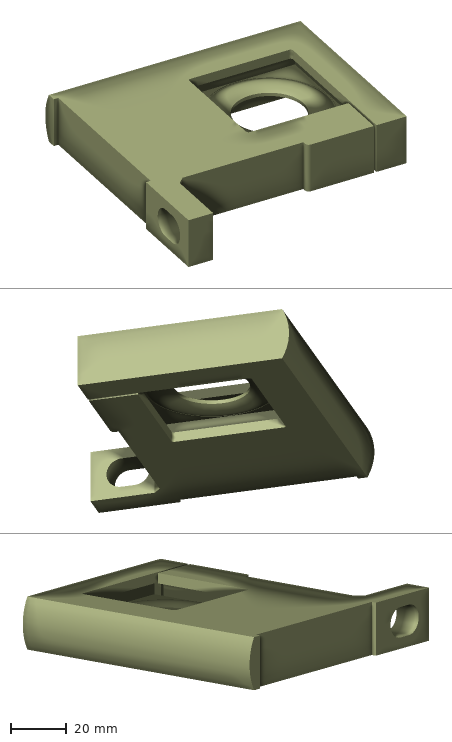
import cadquery as cq

LENGTH_X = 103.5
LENGTH_Y = 104.0
THICKNESS = 19.5
MID_Z = THICKNESS / 2
BOW_DEPTH = 2.6
HEAD_RIGHT = 79.4
BODY_RIGHT = 76.6
HEAD_BOTTOM = 62.8
HEAD_CORNER_RADIUS = 1.6
FOOT_HEIGHT = 10.2
FOOT_CHAMFER = 2.7

RECESS_LEFT = 6.1
RECESS_RIGHT = 72.8
RECESS_DEPTH = 1.9

SLOT_LENGTH = 16.2
SLOT_HEIGHT = 11.2
SLOT_CENTER_X = LENGTH_X - 14.1

WINDOW_SIZE = 42.8
WINDOW_CORNER_RADIUS = 1.0
WINDOW_CENTER_X = 39.5
WINDOW_CENTER_Y = 70.1
GROOVE_DEPTH = 3.1
GROOVE_HEIGHT = 12.0
SLIT_WIDTH = 1.0

PLATE_THICKNESS = 1.7
RING_INNER_RADIUS = 13.9
RING_OUTER_RADIUS = 24.2
RING_SHOULDER = 0.4
RING_RIM_THICKNESS = 1.4
RING_DOME_HEIGHT = 1.6

PLATE_SIZE = WINDOW_SIZE + 2 * GROOVE_DEPTH
WINDOW_TOP = WINDOW_CENTER_Y + WINDOW_SIZE / 2


def centered_square(size, height):
    """Square block centred on the window and on the mid-thickness plane."""
    return cq.Workplane("XY").box(size, size, height).translate((WINDOW_CENTER_X, WINDOW_CENTER_Y, MID_Z))


def make_blank():
    """Bracket outline with its foot, the right edge stepping in below the head."""
    blank = (
        cq.Workplane("XY")
        .moveTo(0, 0)
        .lineTo(RECESS_LEFT, 0)
        .lineTo(RECESS_LEFT, RECESS_DEPTH)
        .lineTo(RECESS_RIGHT, RECESS_DEPTH)
        .lineTo(RECESS_RIGHT, 0)
        .lineTo(LENGTH_X, 0)
        .lineTo(LENGTH_X, FOOT_HEIGHT)
        .lineTo(BODY_RIGHT + FOOT_CHAMFER, FOOT_HEIGHT)
        .lineTo(BODY_RIGHT, FOOT_HEIGHT + FOOT_CHAMFER)
        .lineTo(BODY_RIGHT, HEAD_BOTTOM)
        .lineTo(HEAD_RIGHT - HEAD_CORNER_RADIUS, HEAD_BOTTOM)
        .radiusArc((HEAD_RIGHT, HEAD_BOTTOM + HEAD_CORNER_RADIUS), -HEAD_CORNER_RADIUS)
        .lineTo(HEAD_RIGHT, LENGTH_Y)
        .lineTo(0, LENGTH_Y)
        .close()
        .extrude(THICKNESS)
    )
    return blank.intersect(make_bowed_envelope())


def make_bowed_envelope():
    """Full-length bar whose left side bows outward across the thickness."""
    return (
        cq.Workplane("XZ")
        .moveTo(BOW_DEPTH, 0)
        .lineTo(LENGTH_X, 0)
        .lineTo(LENGTH_X, THICKNESS)
        .lineTo(BOW_DEPTH, THICKNESS)
        .threePointArc((0, MID_Z), (BOW_DEPTH, 0))
        .close()
        .extrude(-LENGTH_Y)
    )


def make_window():
    """Square through opening with rounded corners."""
    return centered_square(WINDOW_SIZE, THICKNESS).edges("|Z").fillet(WINDOW_CORNER_RADIUS)


def make_slit():
    """Narrow gap running from the window's top edge out through the right side."""
    slit_length = HEAD_RIGHT - WINDOW_CENTER_X
    return (
        cq.Workplane("XY")
        .box(slit_length, SLIT_WIDTH, THICKNESS, centered=False)
        .translate((WINDOW_CENTER_X, WINDOW_TOP - SLIT_WIDTH, 0))
    )


def make_mounting_slot():
    """Rounded slot through the foot."""
    return (
        cq.Workplane("XZ")
        .center(SLOT_CENTER_X, MID_Z)
        .slot2D(SLOT_LENGTH, SLOT_HEIGHT)
        .extrude(-FOOT_HEIGHT)
    )


def make_housing():
    """Bracket with the window, its groove, the slit and the mounting slot cut away."""
    groove = centered_square(PLATE_SIZE, GROOVE_HEIGHT)
    return make_blank().cut(make_window()).cut(groove).cut(make_slit()).cut(make_mounting_slot())


def make_plate():
    """Thin square plate filling the groove outline, bored for the ring."""
    bore = (
        cq.Workplane("XY")
        .center(WINDOW_CENTER_X, WINDOW_CENTER_Y)
        .circle(RING_OUTER_RADIUS)
        .extrude(THICKNESS)
    )
    return centered_square(PLATE_SIZE, PLATE_THICKNESS).cut(bore)


def make_ring():
    """Ring with thin rims and domed faces, each dome ending at a narrow flat shoulder."""
    rim = RING_RIM_THICKNESS / 2
    dome_edge = RING_OUTER_RADIUS - RING_SHOULDER
    crest_radius = (RING_INNER_RADIUS + dome_edge) / 2
    crest = rim + RING_DOME_HEIGHT
    return (
        cq.Workplane("XZ")
        .moveTo(RING_INNER_RADIUS, -rim)
        .lineTo(RING_INNER_RADIUS, rim)
        .threePointArc((crest_radius, crest), (dome_edge, rim))
        .lineTo(RING_OUTER_RADIUS, rim)
        .lineTo(RING_OUTER_RADIUS, -rim)
        .lineTo(dome_edge, -rim)
        .threePointArc((crest_radius, -crest), (RING_INNER_RADIUS, -rim))
        .close()
        .revolve(360, (0, 0, 0), (0, 1, 0))
        .translate((WINDOW_CENTER_X, WINDOW_CENTER_Y, MID_Z))
    )


housing = make_housing()
plate = make_plate()
ring = make_ring()

result = cq.Compound.makeCompound([housing.val(), plate.val(), ring.val()])